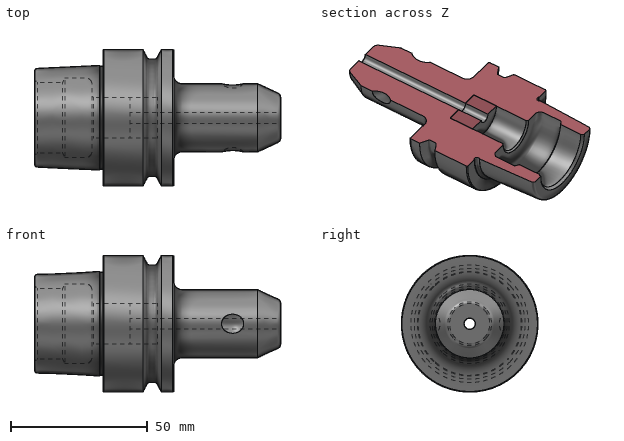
import cadquery as cq
import math


taper_length = 24.9
taper_end_radius = 18.03
taper_base_radius = 19.1
taper_nose_fillet = 1.1
taper_land_start = -2.1
taper_land_end = -1.3
neck_radius = 18.85
neck_start = -1.0

relief_radius = 20.25
relief_depth = 0.3
relief_fillet = 0.8

flange_radius = 25.0
flange_width = 25.9
flange_chamfer = 0.5
flange_chamfer_height = 0.25
groove_centre = 18.0
groove_top_width = 6.8
groove_bottom_radius = 21.5
groove_wall_angle = 28.0
groove_corner_fillet = 0.9

overall_length = 89.9
stem_radius = 12.5
stem_fillet = 3.0
cone_start = 56.5
cone_angle = 25.0
nose_fillet = 2.0

bore_radius = 12.95
bore_chamfer_height = 0.75
bore_chamfer_length = 1.1
clamping_edge_depth = 10.2
undercut_radius = 14.5
undercut_angle = 60.0
pocket_floor = -4.0
pocket_fillet = 2.1
plug_hole_radius = 7.36
plug_hole_chamfer = 0.65
coolant_radius = 2.0

plug_face = 10.0
plug_length = 10.0

dimple_x = 47.4
dimple_mouth_radius = 4.05
dimple_sphere_radius = 5.7

open_end = -taper_length
tool_end = overall_length - taper_length


def along_x(start, length, radius):
    """Cylinder on the X axis."""
    return cq.Workplane("YZ", origin=(start, 0, 0)).circle(radius).extrude(length)


def revolve_about_x(profile):
    """Turn a closed (x, radius) profile into a solid of revolution."""
    return profile.close().revolve(360, (0, 0, 0), (1, 0, 0))


def quarter_arc_middle(centre_x, centre_radius, radius, x_sign, radius_sign):
    """Middle point of a 90 degree arc between its axial and radial tangent points."""
    offset = radius * math.sqrt(0.5)
    return centre_x + x_sign * offset, centre_radius + radius_sign * offset


def make_taper_shank():
    """Taper with a rounded open end, and the neck rounding out into the relief floor."""
    neck_end = relief_depth - relief_fillet
    foot_radius = neck_radius + relief_fillet
    profile = (
        cq.Workplane("XY")
        .moveTo(open_end, 0)
        .lineTo(open_end, taper_end_radius)
        .lineTo(taper_land_start, taper_base_radius)
        .lineTo(taper_land_end, taper_base_radius)
        .lineTo(neck_start, neck_radius)
        .lineTo(neck_end, neck_radius)
        .threePointArc(
            quarter_arc_middle(neck_end, foot_radius, relief_fillet, 1, -1),
            (relief_depth, foot_radius),
        )
        .lineTo(relief_depth, 0)
    )
    return revolve_about_x(profile).faces("<X").edges().fillet(taper_nose_fillet)


def make_flange():
    """Flange disc with bevelled rims, a face relief and a trapezoidal gripper groove."""
    groove_depth = flange_radius - groove_bottom_radius
    groove_wall_run = groove_depth * math.tan(math.radians(groove_wall_angle))
    groove_left = groove_centre - groove_top_width / 2
    groove_right = groove_centre + groove_top_width / 2
    rim_radius = flange_radius - flange_chamfer_height
    profile = (
        cq.Workplane("XY")
        .moveTo(relief_depth, 0)
        .lineTo(relief_depth, relief_radius)
        .lineTo(0, relief_radius)
        .lineTo(0, rim_radius)
        .lineTo(flange_chamfer, flange_radius)
        .lineTo(groove_left, flange_radius)
        .lineTo(groove_left + groove_wall_run, groove_bottom_radius)
        .lineTo(groove_right - groove_wall_run, groove_bottom_radius)
        .lineTo(groove_right, flange_radius)
        .lineTo(flange_width - flange_chamfer, flange_radius)
        .lineTo(flange_width, rim_radius)
        .lineTo(flange_width, 0)
    )
    groove_floor = cq.selectors.RadiusNthSelector(1)
    return revolve_about_x(profile).edges(groove_floor).fillet(groove_corner_fillet)


def make_stem():
    """Cylindrical stem with a rounded root and a conical, rounded nose."""
    root_end = flange_width + stem_fillet
    root_radius = stem_radius + stem_fillet
    tip_radius = stem_radius - (tool_end - cone_start) * math.tan(math.radians(cone_angle))
    profile = (
        cq.Workplane("XY")
        .moveTo(flange_width, 0)
        .lineTo(flange_width, root_radius)
        .threePointArc(
            quarter_arc_middle(root_end, root_radius, stem_fillet, -1, -1),
            (root_end, stem_radius),
        )
        .lineTo(cone_start, stem_radius)
        .lineTo(tool_end, tip_radius)
        .lineTo(tool_end, 0)
    )
    return revolve_about_x(profile).faces(">X").edges().fillet(nose_fillet)


def make_clamping_bore():
    """Bore with a bevelled mouth, an undercut clamping shoulder and a rounded floor."""
    shoulder_start = open_end + clamping_edge_depth
    shoulder_run = (undercut_radius - bore_radius) / math.tan(math.radians(undercut_angle))
    profile = (
        cq.Workplane("XY")
        .moveTo(open_end, 0)
        .lineTo(open_end, bore_radius + bore_chamfer_height)
        .lineTo(open_end + bore_chamfer_length, bore_radius)
        .lineTo(shoulder_start, bore_radius)
        .lineTo(shoulder_start + shoulder_run, undercut_radius)
        .lineTo(pocket_floor, undercut_radius)
        .lineTo(pocket_floor, 0)
    )
    return revolve_about_x(profile).faces(">X").edges().fillet(pocket_fillet)


def make_plug_hole():
    """Blind hole in the pocket floor, bevelled at its mouth, that takes the stop plug."""
    profile = (
        cq.Workplane("XY")
        .moveTo(pocket_floor, 0)
        .lineTo(pocket_floor, plug_hole_radius + plug_hole_chamfer)
        .lineTo(pocket_floor + plug_hole_chamfer, plug_hole_radius)
        .lineTo(plug_face + plug_length, plug_hole_radius)
        .lineTo(plug_face + plug_length, 0)
    )
    return revolve_about_x(profile)


def make_dimple(side):
    """Sphere that cuts a shallow dimple; side is -1 or +1 along Y."""
    centre_height = math.sqrt(dimple_sphere_radius**2 - dimple_mouth_radius**2)
    centre_y = side * (stem_radius + centre_height)
    return cq.Workplane("XY").sphere(dimple_sphere_radius).translate((dimple_x, centre_y, 0))


def make_holder():
    holder = make_taper_shank().union(make_flange()).union(make_stem())
    holder = holder.cut(make_clamping_bore()).cut(make_plug_hole())
    holder = holder.cut(along_x(open_end, overall_length, coolant_radius))
    for side in (-1, 1):
        holder = holder.cut(make_dimple(side))
    return holder


def make_stop_plug():
    """Plug that seats on the floor of its hole, drilled through for coolant."""
    plug = along_x(plug_face, plug_length, plug_hole_radius)
    return plug.cut(along_x(plug_face, plug_length, coolant_radius))


holder = make_holder()
stop_plug = make_stop_plug()

result = cq.Compound.makeCompound([holder.val(), stop_plug.val()])